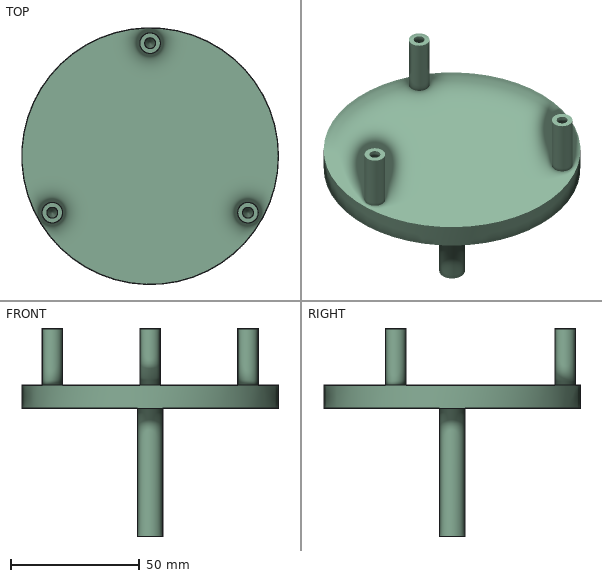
import cadquery as cq
import math

plate_diameter = 100.0
plate_thickness = 9.0

shaft_diameter = 10.0
shaft_length = 50.0

post_count = 3
post_diameter = 8.0
post_height = 22.0
post_circle_radius = 44.0
first_post_angle = 90.0

hole_diameter = 4.23
hole_depth = 12.0
drill_point_angle = 118.0

post_top = plate_thickness + post_height


def make_plate():
    return cq.Workplane("XY").circle(plate_diameter / 2).extrude(plate_thickness)


def make_shaft():
    return cq.Workplane("XY").circle(shaft_diameter / 2).extrude(-shaft_length)


def make_post():
    """Plain round post on the Z axis, starting at the top face of the plate."""
    return (
        cq.Workplane("XY")
        .workplane(offset=plate_thickness)
        .circle(post_diameter / 2)
        .extrude(post_height)
    )


def make_drilled_hole():
    """Cutter on the Z axis: a cylinder down from the post top, ending in a drill point."""
    hole_radius = hole_diameter / 2
    point_depth = hole_radius / math.tan(math.radians(drill_point_angle / 2))
    hole_floor = post_top - hole_depth
    return (
        cq.Workplane("XZ")
        .moveTo(0, post_top)
        .lineTo(hole_radius, post_top)
        .lineTo(hole_radius, hole_floor)
        .lineTo(0, hole_floor - point_depth)
        .close()
        .revolve(360, (0, 0, 0), (0, 1, 0))
    )


def post_positions():
    """Centres of the posts, evenly spaced on the post circle."""
    positions = []
    for index in range(post_count):
        angle = math.radians(first_post_angle + index * 360.0 / post_count)
        x = post_circle_radius * math.cos(angle)
        y = post_circle_radius * math.sin(angle)
        positions.append((x, y, 0))
    return positions


result = make_plate().union(make_shaft())
drilled_post = make_post().cut(make_drilled_hole())
for position in post_positions():
    result = result.union(drilled_post.translate(position))